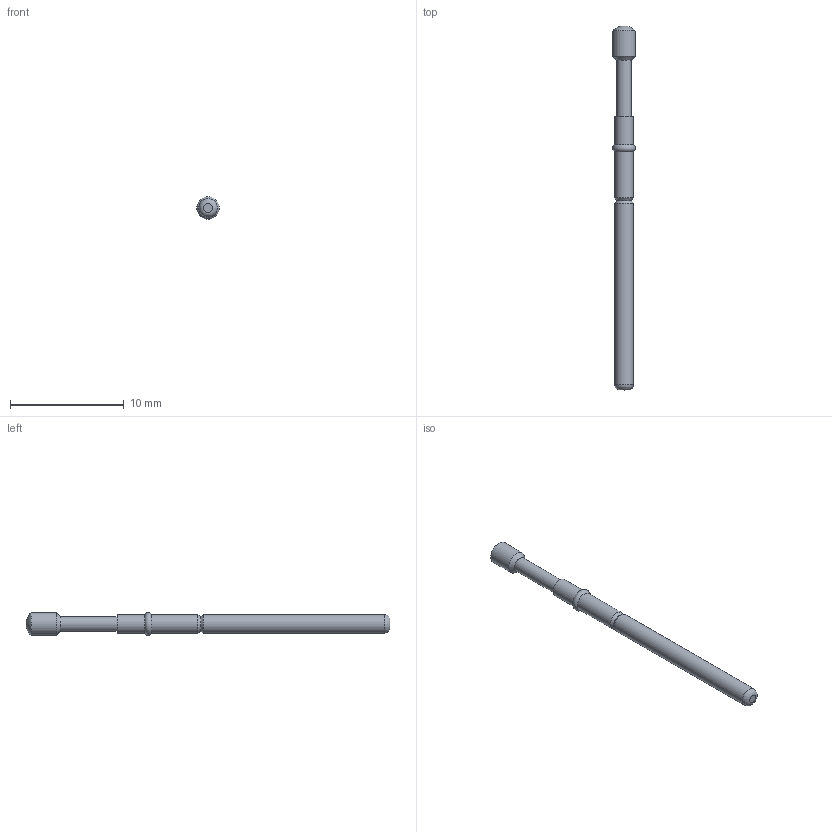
import cadquery as cq
import math

TOTAL_LENGTH = 32.0

HEAD_RADIUS = 1.0
HEAD_LENGTH = 2.65
DOME_HEIGHT = 0.44
HEAD_CONE_LENGTH = 0.38
NECK_RADIUS = 0.65
PLUNGER_LENGTH = 8.0

BARREL_RADIUS = 0.825
TAIL_FILLET = 0.45
COLLAR_RADIUS = 1.0
COLLAR_WIDTH = 0.58
COLLAR_FROM_TIP = 10.75
GROOVE_WIDTH = 0.5
GROOVE_DEPTH = 0.2
GROOVE_FROM_TIP = 15.35

HEAD_BACK_Y = TOTAL_LENGTH - HEAD_LENGTH
NECK_START_Y = HEAD_BACK_Y - HEAD_CONE_LENGTH
DOME_BASE_Y = TOTAL_LENGTH - DOME_HEIGHT
BARREL_LENGTH = TOTAL_LENGTH - PLUNGER_LENGTH
COLLAR_Y = TOTAL_LENGTH - COLLAR_FROM_TIP
GROOVE_Y = TOTAL_LENGTH - GROOVE_FROM_TIP


def revolve_about_y(profile):
    """Turn a closed half profile (X = radius) a full turn about the Y axis."""
    return profile.close().revolve(360, (0, 0, 0), (0, 1, 0))


def make_plunger():
    """Neck, conical shoulder and cylindrical head with a spherical tip."""
    sphere_radius = (HEAD_RADIUS**2 + DOME_HEIGHT**2) / (2 * DOME_HEIGHT)
    half_angle = math.asin(HEAD_RADIUS / sphere_radius) / 2
    sphere_center_y = TOTAL_LENGTH - sphere_radius
    dome_middle = (
        sphere_radius * math.sin(half_angle),
        sphere_center_y + sphere_radius * math.cos(half_angle),
    )
    profile = (
        cq.Workplane("XY")
        .moveTo(0, BARREL_LENGTH)
        .lineTo(NECK_RADIUS, BARREL_LENGTH)
        .lineTo(NECK_RADIUS, NECK_START_Y)
        .lineTo(HEAD_RADIUS, HEAD_BACK_Y)
        .lineTo(HEAD_RADIUS, DOME_BASE_Y)
        .threePointArc(dome_middle, (0, TOTAL_LENGTH))
    )
    return revolve_about_y(profile)


def make_barrel():
    """Barrel with a rounded tail, a V groove and a rounded press-fit collar."""
    fillet_middle = (
        BARREL_RADIUS - TAIL_FILLET + TAIL_FILLET * math.sin(math.pi / 4),
        TAIL_FILLET - TAIL_FILLET * math.cos(math.pi / 4),
    )
    profile = (
        cq.Workplane("XY")
        .moveTo(0, 0)
        .lineTo(BARREL_RADIUS - TAIL_FILLET, 0)
        .threePointArc(fillet_middle, (BARREL_RADIUS, TAIL_FILLET))
        .lineTo(BARREL_RADIUS, GROOVE_Y - GROOVE_WIDTH / 2)
        .lineTo(BARREL_RADIUS - GROOVE_DEPTH, GROOVE_Y)
        .lineTo(BARREL_RADIUS, GROOVE_Y + GROOVE_WIDTH / 2)
        .lineTo(BARREL_RADIUS, COLLAR_Y - COLLAR_WIDTH / 2)
        .threePointArc((COLLAR_RADIUS, COLLAR_Y), (BARREL_RADIUS, COLLAR_Y + COLLAR_WIDTH / 2))
        .lineTo(BARREL_RADIUS, BARREL_LENGTH)
        .lineTo(0, BARREL_LENGTH)
    )
    return revolve_about_y(profile)


result = make_barrel().union(make_plunger())